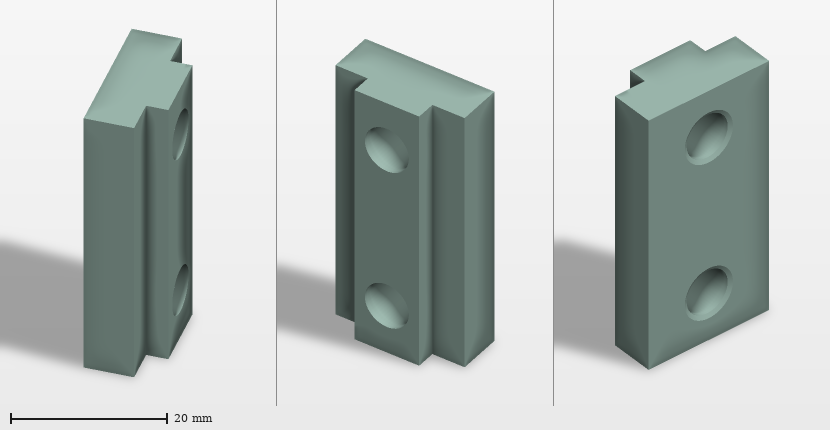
import cadquery as cq
import math

length = 40.0
plate_width = 20.0
plate_thickness = 6.8

total_thickness = 9.8
tongue_width = plate_width / 2
tongue_height = total_thickness - plate_thickness

hole_diameter = 6.8
countersink_diameter = 8.0
hole_spacing = 25.0
countersink_angle = 120.0
countersink_depth = (
    (countersink_diameter - hole_diameter) / 2 / math.tan(math.radians(countersink_angle / 2))
)


def block(thickness, width, x_start):
    """Full-length block centred on Y and Z, starting at x_start."""
    return (
        cq.Workplane("YZ", origin=(x_start, 0, 0))
        .rect(width, length)
        .extrude(thickness)
    )


def hole_cutter(z):
    """Through hole along X with a conical countersink on the front face."""
    bore = cq.Solid.makeCylinder(
        hole_diameter / 2, total_thickness, cq.Vector(0, 0, z), cq.Vector(1, 0, 0)
    )
    countersink = cq.Solid.makeCone(
        countersink_diameter / 2,
        hole_diameter / 2,
        countersink_depth,
        cq.Vector(0, 0, z),
        cq.Vector(1, 0, 0),
    )
    return bore.fuse(countersink)


plate = block(plate_thickness, plate_width, 0)
tongue = block(tongue_height, tongue_width, plate_thickness)
result = plate.union(tongue)

for hole_z in (-hole_spacing / 2, hole_spacing / 2):
    result = result.cut(cq.Workplane(hole_cutter(hole_z)))